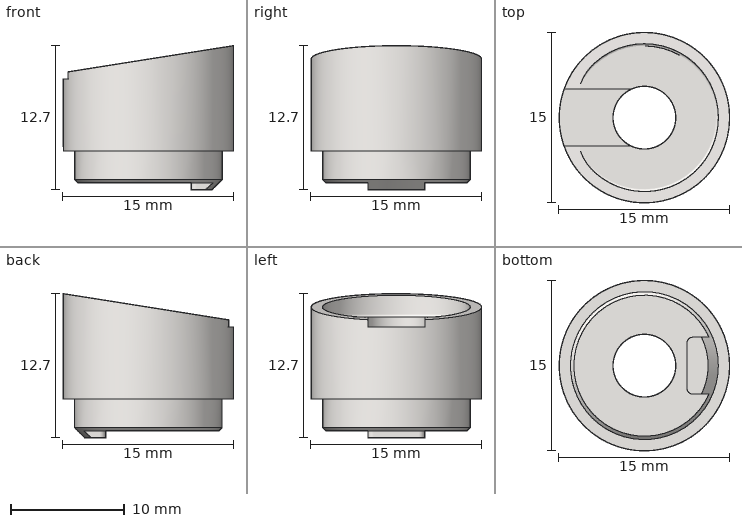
import cadquery as cq
import math

body_radius = 7.5
spigot_radius = 6.5
spigot_height = 2.8
rim_high_height = 9.28
rim_angle = 9.0
bore_radius = 2.75

pocket_radius = 6.5
pocket_floor_height = 7.2
pocket_fillet = 0.2

slot_width = 5.0
slot_floor_height = 6.35

spigot_chamfer = 0.3
key_width = 5.0
key_depth = 0.6
key_inner_x = 3.75
key_corner_radius = 0.5

rim_slope = math.tan(math.radians(rim_angle))
rim_high_z = spigot_height + rim_high_height
rim_low_z = rim_high_z - 2 * body_radius * rim_slope
pocket_floor_z = spigot_height + pocket_floor_height
slot_floor_z = spigot_height + slot_floor_height
cone_height = spigot_chamfer + key_depth


def cylinder(radius, bottom_z, top_z):
    return cq.Workplane("XY").workplane(offset=bottom_z).circle(radius).extrude(top_z - bottom_z)


def sloped_body():
    """Upper cylinder, cut off by the sloped rim plane."""
    side_profile = [
        (-body_radius, spigot_height),
        (body_radius, spigot_height),
        (body_radius, rim_high_z),
        (-body_radius, rim_low_z),
    ]
    wedge = cq.Workplane("XZ").polyline(side_profile).close().extrude(body_radius, both=True)
    return cylinder(body_radius, spigot_height, rim_high_z).intersect(wedge)


def key_block():
    """Square-ended key below the spigot, its inner corners rounded."""
    key_length = spigot_radius - key_inner_x
    return (
        cq.Workplane("XY")
        .workplane(offset=-key_depth)
        .center(key_inner_x + key_length / 2, 0)
        .rect(key_length, key_width)
        .extrude(cone_height)
        .edges("|Z and <X")
        .fillet(key_corner_radius)
    )


def keyed_spigot():
    """Lower cylinder and key, both trimmed by one 45 degree cone at the bottom edge."""
    envelope = cylinder(spigot_radius, -key_depth, spigot_height).faces("<Z").chamfer(cone_height)
    return cylinder(spigot_radius, 0, spigot_height).union(key_block()).intersect(envelope)


def pocket():
    """Round pocket with a level floor and a filleted floor edge."""
    return cylinder(pocket_radius, pocket_floor_z, rim_high_z).faces("<Z").edges().fillet(pocket_fillet)


def slot():
    """Slot from the bore out through the low side of the rim."""
    return (
        cq.Workplane("XY")
        .workplane(offset=slot_floor_z)
        .center(-body_radius / 2, 0)
        .rect(body_radius, slot_width)
        .extrude(rim_high_z - slot_floor_z)
    )


result = (
    sloped_body()
    .union(keyed_spigot())
    .cut(pocket())
    .cut(slot())
    .cut(cylinder(bore_radius, 0, rim_high_z))
)